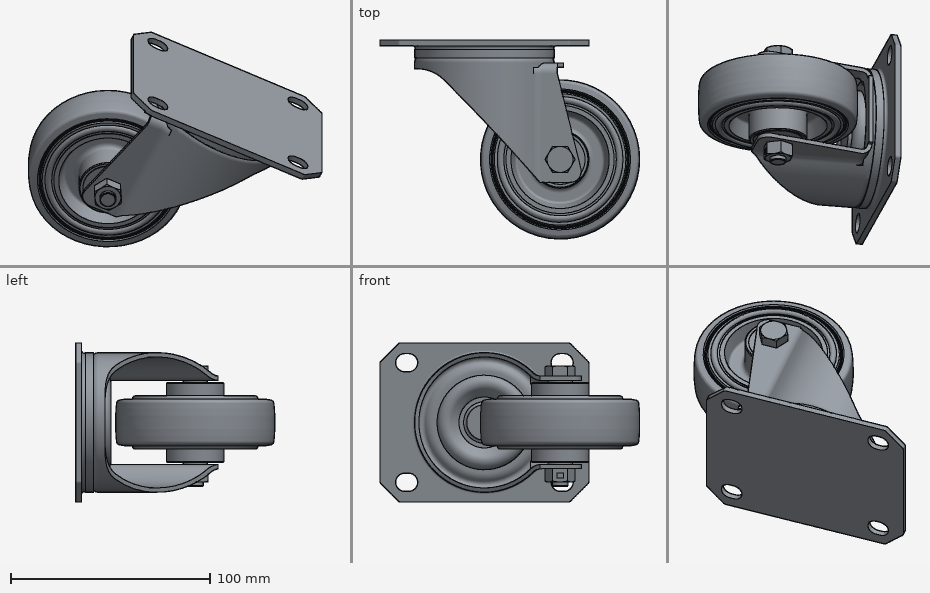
import cadquery as cq
import math


PLATE_LENGTH = 105.0
PLATE_WIDTH = 80.0
PLATE_THICKNESS = 3.0
PLATE_CORNER_CUT = 9.8
PLATE_CORNER_ROUND = 1.7
SLOT_LENGTH = 11.0
SLOT_WIDTH = 9.0
SLOT_SPACING_X = 78.0
SLOT_SPACING_Z = 60.0
BOSS_RADIUS = 34.8
BOSS_BOTTOM = -5.0
BOSS_ROOT_FILLET = 1.3

SHEET = 2.2
SKIRT_RADIUS = 35.1
WEB_TOP = -11.6
BEAD_INNER_RADIUS = 2.0
DISH_RADIUS = 5.3
BEND_RADIUS = 5.3
ARM_OUTER_Z = 23.2
ARM_BLEND_X = 28.8
ARM_TOP_X = 36.7
ARM_LEAN = 0.247
ARM_CORNER_ROUND = 5.5
ARM_BOTTOM = -71.5
SKIRT_BOTTOM = -14.6
SLOPE_END_X = 27.8
SLOPE_RATIO = 1.06
SLOPE_BULGE = 0.8
SLOPE_BLEND = 18.3
WEB_REACH = 39.8

RING_BOTTOM = -9.0
CAP_RADIUS = 23.7
CAP_ROLL_RADIUS = 4.3
CAP_ROLL_CENTER_Y = -13.6
CAP_FLOOR_RADIUS = 12.8
CAP_FLOOR = -13.6
KINGPIN_RADIUS = 8.9
KINGPIN_BOTTOM = -17.9
KINGPIN_FILLET = 1.6

WHEEL_X = 38.0
WHEEL_Y = -60.0
TYRE_RADIUS = 39.99
TREAD_FLAT_Z = 3.4
TREAD_STEP_RADIUS = 39.8
TREAD_STEP_Z = 6.9
TREAD_EDGE_RADIUS = 39.5
TREAD_EDGE_Z = 9.5
TYRE_SIDE_RADIUS = 38.2
TYRE_SIDE_Z = 11.2
RIM_RADIUS = 34.2
GROOVE_HALF_WIDTH = 1.2
GROOVE_FLOOR_HALF_WIDTH = 0.5
GROOVE_DEPTH = 0.7
RIM_SIDE_Z = 11.7
RIM_BEAD_RADIUS = 1.7
RIM_BEAD_CENTER = 29.9
RIM_LEDGE_Z = 12.5
RIM_GROOVE_RADIUS = 27.1
RIM_GROOVE_DEPTH = 0.4
RECESS_RADIUS = 24.7
RECESS_DRAFT = 16.0
RECESS_FLOOR_Z = 3.9
RECESS_OUTER_FILLET = 1.6
RECESS_INNER_FILLET = 2.5
HUB_RADIUS = 14.5
HUB_HALF_LENGTH = 20.1
HUB_CHAMFER = 0.5
HUB_END_RADIUS = 12.5
HUB_END_DEPTH = 0.4
SLEEVE_RADIUS = 6.1
BOLT_RADIUS = 4.0
BOLT_END_Z = -32.1
BOLT_CHAMFER = 0.4
HEX_FLATS = 13.0
HEAD_HEIGHT = 5.2
NUT_HEIGHT = 6.7
HEX_CHAMFER_DROP = 0.5
NUT_MARK_LENGTH = 3.3
NUT_MARK_HEIGHT = 2.5
NUT_MARK_DEPTH = 0.4

DIAGONAL = math.sqrt(0.5)
WEB_BOTTOM = WEB_TOP - SHEET
ARM_INNER_Z = ARM_OUTER_Z - SHEET
BEAD_CENTER_RADIUS = SKIRT_RADIUS - SHEET - BEAD_INNER_RADIUS
BEAD_OUTER_RADIUS = BEAD_INNER_RADIUS + SHEET
DISH_CENTER_OFFSET = (BEAD_INNER_RADIUS + DISH_RADIUS) * DIAGONAL
DISH_BOTTOM = WEB_TOP + DISH_CENTER_OFFSET - DISH_RADIUS
DISH_TOP = DISH_BOTTOM + SHEET
HEX_CORNERS = HEX_FLATS / math.cos(math.pi / 6)


def around_swivel(profile):
    """Revolve a closed (radius, y) profile about the swivel axis."""
    return profile.close().revolve(360, (0, 0), (0, 1))


def around_axle(profile):
    """Revolve a closed (radius, z) profile about the wheel axle."""
    return profile.close().revolve(360, (0, 0), (0, 1))


def swivel_section():
    return cq.Workplane("XY")


def axle_section():
    return cq.Workplane("XZ", origin=(WHEEL_X, WHEEL_Y, 0))


def axle_plane(z):
    return cq.Workplane("XY", origin=(WHEEL_X, WHEEL_Y, z))


def swivel_plane(y):
    """Plane across the swivel axis; extrusions run towards -Y."""
    return cq.Workplane("XZ", origin=(0, y, 0))


def axle_cylinder(radius, z_low, z_high):
    return axle_plane(z_low).circle(radius).extrude(z_high - z_low)


def make_plate():
    plate = (
        swivel_plane(0).rect(PLATE_LENGTH, PLATE_WIDTH).extrude(PLATE_THICKNESS)
        .edges("|Y").chamfer(PLATE_CORNER_CUT)
        .edges("|Y").fillet(PLATE_CORNER_ROUND)
    )
    slots = (
        swivel_plane(0).rarray(SLOT_SPACING_X, SLOT_SPACING_Z, 2, 2)
        .slot2D(SLOT_LENGTH, SLOT_WIDTH).extrude(PLATE_THICKNESS)
    )
    root_y = -PLATE_THICKNESS
    flare = BOSS_ROOT_FILLET * (1 - DIAGONAL)
    boss = around_swivel(
        swivel_section().moveTo(0, root_y)
        .lineTo(BOSS_RADIUS + BOSS_ROOT_FILLET, root_y)
        .threePointArc(
            (BOSS_RADIUS + flare, root_y - flare),
            (BOSS_RADIUS, root_y - BOSS_ROOT_FILLET),
        )
        .lineTo(BOSS_RADIUS, BOSS_BOTTOM)
        .lineTo(0, BOSS_BOTTOM)
    )
    return plate.cut(slots).union(boss)


def make_ring():
    """Dust ring that sits on the outer shoulder of the fork bead."""
    def shoulder(y):
        return BEAD_CENTER_RADIUS + math.sqrt(BEAD_OUTER_RADIUS ** 2 - (y - WEB_TOP) ** 2)

    crest = WEB_TOP + BEAD_OUTER_RADIUS
    middle = (RING_BOTTOM + crest) / 2
    return around_swivel(
        swivel_section().moveTo(BEAD_CENTER_RADIUS, BOSS_BOTTOM)
        .lineTo(SKIRT_RADIUS, BOSS_BOTTOM)
        .lineTo(SKIRT_RADIUS, RING_BOTTOM)
        .lineTo(shoulder(RING_BOTTOM), RING_BOTTOM)
        .threePointArc((shoulder(middle), middle), (BEAD_CENTER_RADIUS, crest))
    )


def fork_block(inset):
    """Solid block on the fork outline, moved inwards by inset.

    The round skirt has a sharp top edge; the arms and their blends have a rounded one.
    """
    radius = SKIRT_RADIUS - inset
    arm_z = ARM_OUTER_Z - inset
    top = WEB_TOP - inset
    end_x = 2 * ARM_TOP_X
    blend_center_z = ARM_OUTER_Z + (
        (ARM_BLEND_X ** 2 + ARM_OUTER_Z ** 2 - SKIRT_RADIUS ** 2)
        / (2 * (SKIRT_RADIUS - ARM_OUTER_Z))
    )
    blend = blend_center_z - arm_z
    touch_angle = math.atan2(blend_center_z, ARM_BLEND_X)
    touch_x = radius * math.cos(touch_angle)
    touch_z = radius * math.sin(touch_angle)
    middle_angle = (touch_angle + math.pi / 2) / 2
    middle_x = ARM_BLEND_X - blend * math.cos(middle_angle)
    middle_z = blend_center_z - blend * math.sin(middle_angle)
    depth = top - ARM_BOTTOM
    arms = (
        swivel_plane(top).moveTo(end_x, arm_z)
        .lineTo(ARM_BLEND_X, arm_z)
        .threePointArc((middle_x, middle_z), (touch_x, touch_z))
        .threePointArc((-radius, 0), (touch_x, -touch_z))
        .threePointArc((middle_x, -middle_z), (ARM_BLEND_X, -arm_z))
        .lineTo(end_x, -arm_z)
        .close()
        .extrude(depth)
        .faces(">Y").edges("not >X").fillet(BEND_RADIUS - inset)
    )
    skirt_side = (
        swivel_plane(top).center(touch_x - radius, 0)
        .rect(2 * radius, 2 * radius).extrude(depth)
    )
    skirt = swivel_plane(top).circle(radius).extrude(depth).intersect(skirt_side)
    return arms.cut(skirt_side).union(skirt)


def fork_pressing():
    """Round part of the web: a raised bead inside the skirt and a flat centre."""
    dish_radius = BEAD_CENTER_RADIUS - DISH_CENTER_OFFSET
    dish_center_y = WEB_TOP + DISH_CENTER_OFFSET

    def bead_point(radius, degrees):
        angle = math.radians(degrees)
        return (BEAD_CENTER_RADIUS + radius * math.cos(angle), WEB_TOP + radius * math.sin(angle))

    def dish_point(radius, degrees):
        angle = math.radians(degrees)
        return (dish_radius + radius * math.cos(angle), dish_center_y + radius * math.sin(angle))

    top_bend = DISH_RADIUS - SHEET
    return around_swivel(
        swivel_section().moveTo(SKIRT_RADIUS - SHEET, WEB_BOTTOM)
        .lineTo(SKIRT_RADIUS, WEB_BOTTOM)
        .lineTo(SKIRT_RADIUS, WEB_TOP)
        .threePointArc(bead_point(BEAD_OUTER_RADIUS, 90), bead_point(BEAD_OUTER_RADIUS, 135))
        .threePointArc(dish_point(top_bend, -70), dish_point(top_bend, -90))
        .lineTo(CAP_RADIUS, DISH_TOP)
        .lineTo(CAP_RADIUS, DISH_BOTTOM)
        .lineTo(dish_radius, DISH_BOTTOM)
        .threePointArc(dish_point(DISH_RADIUS, -70), dish_point(DISH_RADIUS, -45))
        .threePointArc(bead_point(BEAD_INNER_RADIUS, 90), bead_point(BEAD_INNER_RADIUS, 0))
    )


def fork_side_outline():
    """Block with the side outline of the skirt and the leaning arms."""
    slope_start_x = SLOPE_END_X - (SKIRT_BOTTOM - ARM_BOTTOM) / SLOPE_RATIO
    slope_angle = math.atan(SLOPE_RATIO)
    slope_middle = (
        (slope_start_x + SLOPE_END_X) / 2 + SLOPE_BULGE * math.sin(slope_angle),
        (SKIRT_BOTTOM + ARM_BOTTOM) / 2 + SLOPE_BULGE * math.cos(slope_angle),
    )
    arm_end_x = ARM_TOP_X + ARM_LEAN * (WEB_TOP - BEND_RADIUS - ARM_BOTTOM)
    block = (
        cq.Workplane("XY").moveTo(-PLATE_LENGTH / 2, 0)
        .lineTo(-PLATE_LENGTH / 2, SKIRT_BOTTOM)
        .lineTo(slope_start_x, SKIRT_BOTTOM)
        .threePointArc(slope_middle, (SLOPE_END_X, ARM_BOTTOM))
        .lineTo(arm_end_x, ARM_BOTTOM)
        .lineTo(ARM_TOP_X, WEB_TOP - BEND_RADIUS)
        .lineTo(ARM_TOP_X, 0)
        .close()
        .extrude(PLATE_WIDTH / 2, both=True)
    )
    at_slope = cq.selectors.NearestToPointSelector((slope_start_x, SKIRT_BOTTOM, 0))
    at_arm_end = cq.selectors.NearestToPointSelector((arm_end_x, ARM_BOTTOM, 0))
    block = block.edges("|Z").edges(at_slope).fillet(SLOPE_BLEND)
    return block.edges("|Z").edges(at_arm_end).fillet(ARM_CORNER_ROUND)


def make_fork():
    web_half_width = ARM_OUTER_Z - BEND_RADIUS
    lip_length = WEB_REACH - BEAD_CENTER_RADIUS
    lip = (
        swivel_plane(WEB_TOP).center(WEB_REACH - lip_length / 2, 0)
        .rect(lip_length, 2 * web_half_width).extrude(SHEET)
    )
    round_opening = swivel_plane(WEB_TOP).circle(SKIRT_RADIUS - SHEET).extrude(SHEET)
    bolt_hole = axle_cylinder(BOLT_RADIUS, -ARM_OUTER_Z, ARM_OUTER_Z)
    return (
        fork_block(0).cut(fork_block(SHEET))
        .intersect(fork_side_outline())
        .union(lip).cut(round_opening)
        .union(fork_pressing())
        .cut(bolt_hole)
    )


def make_cap():
    """Bearing cap with a rolled rim, set into the round hole of the fork web."""
    roll_center = CAP_RADIUS - CAP_ROLL_RADIUS
    diagonal = CAP_ROLL_RADIUS * DIAGONAL
    return around_swivel(
        swivel_section().moveTo(KINGPIN_RADIUS, DISH_TOP)
        .lineTo(CAP_RADIUS, DISH_TOP)
        .lineTo(CAP_RADIUS, CAP_ROLL_CENTER_Y)
        .threePointArc(
            (roll_center, CAP_ROLL_CENTER_Y - CAP_ROLL_RADIUS),
            (roll_center - diagonal, CAP_ROLL_CENTER_Y - diagonal),
        )
        .lineTo(CAP_FLOOR_RADIUS, CAP_FLOOR)
        .lineTo(KINGPIN_RADIUS, CAP_FLOOR)
    )


def make_kingpin():
    """Pin through the cap bore with a fillet spreading onto the cap floor."""
    foot = KINGPIN_FILLET * (1 - DIAGONAL)
    return around_swivel(
        swivel_section().moveTo(0, BOSS_BOTTOM)
        .lineTo(KINGPIN_RADIUS, BOSS_BOTTOM)
        .lineTo(KINGPIN_RADIUS, CAP_FLOOR)
        .lineTo(KINGPIN_RADIUS + KINGPIN_FILLET, CAP_FLOOR)
        .threePointArc(
            (KINGPIN_RADIUS + foot, CAP_FLOOR - foot),
            (KINGPIN_RADIUS, CAP_FLOOR - KINGPIN_FILLET),
        )
        .lineTo(KINGPIN_RADIUS, KINGPIN_BOTTOM)
        .lineTo(0, KINGPIN_BOTTOM)
    )


def make_tyre():
    groove_edge = RIM_RADIUS + GROOVE_HALF_WIDTH
    groove_floor = RIM_SIDE_Z - GROOVE_DEPTH
    half = around_axle(
        axle_section().moveTo(RIM_RADIUS, 0)
        .lineTo(TYRE_RADIUS, 0)
        .lineTo(TYRE_RADIUS, TREAD_FLAT_Z)
        .lineTo(TREAD_STEP_RADIUS, TREAD_STEP_Z)
        .lineTo(TREAD_EDGE_RADIUS, TREAD_EDGE_Z)
        .tangentArcPoint((TYRE_SIDE_RADIUS, TYRE_SIDE_Z), relative=False)
        .lineTo(groove_edge, RIM_SIDE_Z)
        .lineTo(RIM_RADIUS + GROOVE_FLOOR_HALF_WIDTH, groove_floor)
        .lineTo(RIM_RADIUS, groove_floor)
    )
    return half.union(half.mirror("XY"))


def make_wheel():
    """Rim, web and hub in one piece, the same on both faces."""
    groove_floor = RIM_SIDE_Z - GROOVE_DEPTH
    draft = math.radians(RECESS_DRAFT)
    foot_radius = RECESS_RADIUS - (RIM_LEDGE_Z - RECESS_FLOOR_Z) * math.tan(draft)
    foot_length = RECESS_OUTER_FILLET * math.tan(math.pi / 4 - draft / 2)
    wall_foot = (
        foot_radius + foot_length * math.sin(draft),
        RECESS_FLOOR_Z + foot_length * math.cos(draft),
    )
    groove_z = RIM_LEDGE_Z - RIM_GROOVE_DEPTH
    bead_in = RIM_BEAD_CENTER - math.sqrt(RIM_BEAD_RADIUS ** 2 - (groove_z - RIM_SIDE_Z) ** 2)
    bead_out = RIM_BEAD_CENTER + RIM_BEAD_RADIUS
    half = around_axle(
        axle_section().moveTo(SLEEVE_RADIUS, 0)
        .lineTo(RIM_RADIUS, 0)
        .lineTo(RIM_RADIUS, groove_floor)
        .lineTo(RIM_RADIUS - GROOVE_FLOOR_HALF_WIDTH, groove_floor)
        .lineTo(RIM_RADIUS - GROOVE_HALF_WIDTH, RIM_SIDE_Z)
        .lineTo(bead_out, RIM_SIDE_Z)
        .threePointArc((RIM_BEAD_CENTER, RIM_SIDE_Z + RIM_BEAD_RADIUS), (bead_in, groove_z))
        .lineTo(RIM_GROOVE_RADIUS, groove_z)
        .lineTo(RIM_GROOVE_RADIUS, RIM_LEDGE_Z)
        .lineTo(RECESS_RADIUS, RIM_LEDGE_Z)
        .lineTo(*wall_foot)
        .tangentArcPoint((foot_radius - foot_length, RECESS_FLOOR_Z), relative=False)
        .lineTo(HUB_RADIUS + RECESS_INNER_FILLET, RECESS_FLOOR_Z)
        .tangentArcPoint((HUB_RADIUS, RECESS_FLOOR_Z + RECESS_INNER_FILLET), relative=False)
        .lineTo(HUB_RADIUS, HUB_HALF_LENGTH - HUB_CHAMFER)
        .lineTo(HUB_RADIUS - HUB_CHAMFER, HUB_HALF_LENGTH)
        .lineTo(HUB_END_RADIUS, HUB_HALF_LENGTH)
        .lineTo(HUB_END_RADIUS, HUB_HALF_LENGTH - HUB_END_DEPTH)
        .lineTo(SLEEVE_RADIUS, HUB_HALF_LENGTH - HUB_END_DEPTH)
    )
    return half.union(half.mirror("XY"))


def make_sleeve():
    tube = axle_cylinder(SLEEVE_RADIUS, -ARM_INNER_Z, ARM_INNER_Z)
    return tube.cut(axle_cylinder(BOLT_RADIUS, -ARM_INNER_Z, ARM_INNER_Z))


def hex_block(height):
    """Hexagon standing on the outer arm face, its free end turned to a round rim."""
    block = axle_plane(ARM_OUTER_Z).polygon(6, HEX_CORNERS).extrude(height)
    free_end = ARM_OUTER_Z + height
    corner = HEX_CORNERS / 2
    turned = around_axle(
        axle_section().moveTo(0, ARM_OUTER_Z)
        .lineTo(corner, ARM_OUTER_Z)
        .lineTo(corner, free_end - HEX_CHAMFER_DROP)
        .lineTo(HEX_FLATS / 2, free_end)
        .lineTo(0, free_end)
    )
    return block.intersect(turned)


def make_bolt():
    shank = (
        axle_cylinder(BOLT_RADIUS, BOLT_END_Z, ARM_OUTER_Z)
        .faces("<Z").chamfer(BOLT_CHAMFER)
    )
    return hex_block(HEAD_HEIGHT).union(shank)


def make_nut():
    """Hexagon nut with a shallow rectangular recess in its -Y flat."""
    nut = hex_block(NUT_HEIGHT).mirror("XY")
    bore = axle_cylinder(BOLT_RADIUS, -ARM_OUTER_Z - NUT_HEIGHT, -ARM_OUTER_Z)
    mark = cq.Workplane("XY").box(NUT_MARK_LENGTH, 2 * NUT_MARK_DEPTH, NUT_MARK_HEIGHT).translate(
        (WHEEL_X, WHEEL_Y - HEX_FLATS / 2, -ARM_OUTER_Z - NUT_HEIGHT / 2)
    )
    return nut.cut(bore).cut(mark)


plate = make_plate()
ring = make_ring()
fork = make_fork()
cap = make_cap()
kingpin = make_kingpin()
tyre = make_tyre()
wheel = make_wheel()
sleeve = make_sleeve()
bolt = make_bolt()
nut = make_nut()

bodies = [plate, ring, fork, cap, kingpin, tyre, wheel, sleeve, bolt, nut]
result = cq.Compound.makeCompound([body.val() for body in bodies])